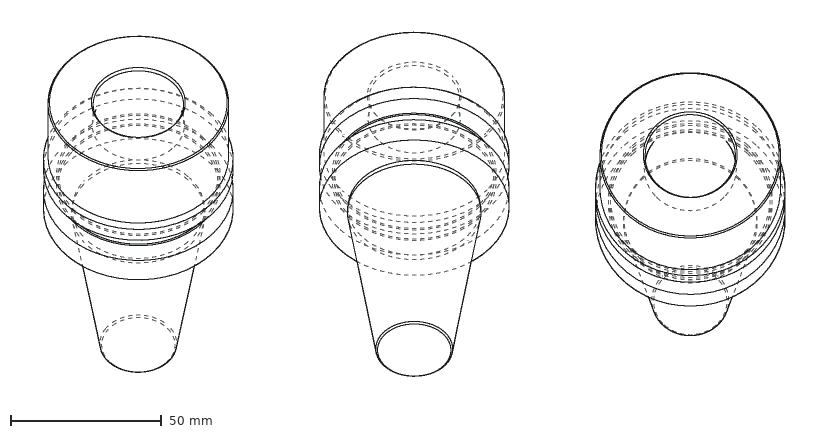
import cadquery as cq
import math


gauge_diameter = 44.45
taper_length = 65.4
taper_ratio = 7 / 24
tip_chamfer = 0.6
neck_diameter = 44.0
neck_step_height = 0.8

flange_diameter = 63.0
flange_bottom = 2.0
flange_top = 27.0
groove_center = 16.6
groove_width = 10.0
groove_floor_width = 5.0
groove_floor_diameter = 53.0
groove_side_angle = 30.0

head_diameter = 60.0
head_top = 55.0
head_chamfer = 0.5

bore_diameter = 30.0
bore_rim_chamfer_height = 1.0
bore_rim_chamfer_angle = 30.0
bore_depth = 12.0

undercut_depth = 0.3
undercut_width = 2.5
undercut_run_out_angle = 15.0
undercut_fillet = 0.8


def outer_section():
    """Half section of the outside, from the tip of the taper upward."""
    gauge_radius = gauge_diameter / 2
    flange_radius = flange_diameter / 2
    head_radius = head_diameter / 2
    neck_radius = neck_diameter / 2
    groove_floor_radius = groove_floor_diameter / 2

    tip_z = -taper_length
    chamfer_z = tip_z + tip_chamfer
    chamfer_radius = gauge_radius + chamfer_z * taper_ratio / 2
    groove_side_height = (groove_width - groove_floor_width) / 2
    groove_side_run = groove_side_height / math.tan(math.radians(groove_side_angle))
    groove_side_foot = flange_radius - groove_side_run

    points = [
        (0, tip_z),
        (chamfer_radius - tip_chamfer, tip_z),
        (chamfer_radius, chamfer_z),
        (gauge_radius, 0),
        (neck_radius, neck_step_height),
        (neck_radius, flange_bottom),
        (flange_radius, flange_bottom),
        (flange_radius, groove_center - groove_width / 2),
        (groove_side_foot, groove_center - groove_floor_width / 2),
        (groove_floor_radius, groove_center - groove_floor_width / 2),
        (groove_floor_radius, groove_center + groove_floor_width / 2),
        (groove_side_foot, groove_center + groove_floor_width / 2),
        (flange_radius, groove_center + groove_width / 2),
        (flange_radius, flange_top),
        (head_radius, flange_top + flange_radius - head_radius),
        (head_radius, head_top - head_chamfer),
        (head_radius - head_chamfer, head_top),
        (0, head_top),
    ]
    return cq.Workplane("XZ").polyline(points).close()


def bore_section():
    """Half section of the bore, from its floor through the undercut up to the rim."""
    bore_radius = bore_diameter / 2
    rim_chamfer_run = bore_rim_chamfer_height * math.tan(math.radians(bore_rim_chamfer_angle))

    floor_z = head_top - bore_depth
    undercut_radius = bore_radius + undercut_depth
    wall_end_z = floor_z + undercut_width
    run_out_height = undercut_depth / math.tan(math.radians(undercut_run_out_angle))
    fillet_center_radius = undercut_radius - undercut_fillet
    fillet_center_z = floor_z + undercut_fillet
    fillet_half_way = undercut_fillet * math.sqrt(0.5)

    return (
        cq.Workplane("XZ")
        .moveTo(0, floor_z)
        .lineTo(fillet_center_radius, floor_z)
        .threePointArc(
            (fillet_center_radius + fillet_half_way, fillet_center_z - fillet_half_way),
            (undercut_radius, fillet_center_z),
        )
        .lineTo(undercut_radius, wall_end_z - run_out_height)
        .lineTo(bore_radius, wall_end_z)
        .lineTo(bore_radius, head_top - bore_rim_chamfer_height)
        .lineTo(bore_radius + rim_chamfer_run, head_top)
        .lineTo(0, head_top)
        .close()
    )


def revolve_about_z(section):
    return section.revolve(360, (0, 0, 0), (0, 1, 0))


body = revolve_about_z(outer_section())
bore = revolve_about_z(bore_section())
result = body.cut(bore)